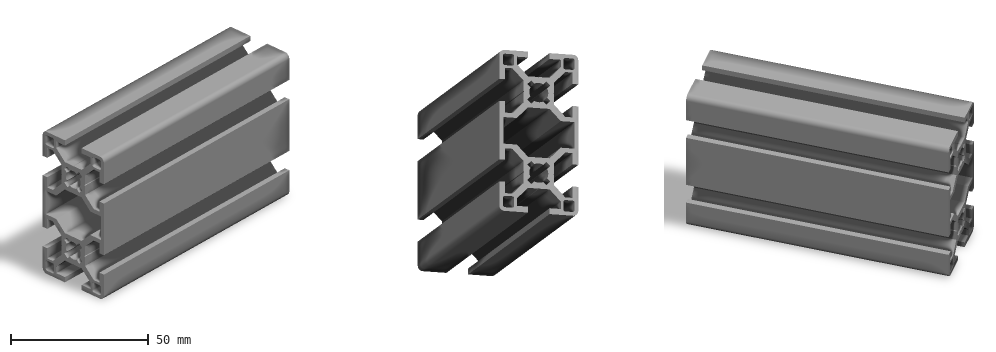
import cadquery as cq

length = 100.0
cell = 30.0
height = 2 * cell
outer_radius = 2.0

slot_opening = 8.2
slot_inner_width = 16.7
lip_thickness = 2.2
core_width = 11.6

side_wall = 1.5
corner_wall = 1.4
inner_wall = 1.0
corner_hole_radius = 0.8

bore_diameter = 7.2
slit_width = 2.1
slit_length = 10.2

groove_width = 0.4
groove_depth = 0.3

half_cell = cell / 2
half_opening = slot_opening / 2
half_inner = slot_inner_width / 2
half_core = core_width / 2
shoulder = half_core + half_inner - half_opening
cavity_shoulder = half_cell - shoulder
cell_centers = [-half_cell, half_cell]


def prism(sketch):
    """Extrude an XZ outline along the full length, centred on Y."""
    return sketch.extrude(length / 2, both=True)


def slot_cutter():
    """T-slot with a grooved floor, opening towards +Z from a cell centre."""
    lip_bottom = half_cell - lip_thickness
    right_side = [
        (groove_width / 2, half_core),
        (half_opening, half_core),
        (half_inner, shoulder),
        (half_inner, lip_bottom),
        (half_opening, lip_bottom),
        (half_opening, half_cell),
    ]
    left_side = [(-x, z) for x, z in reversed(right_side)]
    groove_tip = (0, half_core - groove_depth)
    return prism(cq.Workplane("XZ").polyline([groove_tip] + right_side + left_side).close())


def bore_cutter():
    """Round core bore with a diagonal cross through it."""
    bore = prism(cq.Workplane("XZ").circle(bore_diameter / 2))
    for angle in (45, -45):
        slit = prism(cq.Workplane("XZ").rect(slit_length, slit_width))
        bore = bore.union(slit.rotate((0, 0, 0), (0, 1, 0), angle))
    return bore


def corner_hole_cutter():
    """Rounded square hollows in the four outer corners."""
    near = half_inner + inner_wall
    far = half_cell - corner_wall
    size = far - near
    x = (near + far) / 2
    z = x + half_cell
    corners = [(sx * x, sz * z) for sx in (-1, 1) for sz in (-1, 1)]
    holes = prism(cq.Workplane("XZ").pushPoints(corners).rect(size, size))
    return holes.edges("|Y").fillet(corner_hole_radius)


def cavity_cutter():
    """Closed cavity between the two cores."""
    quarter = [
        (half_cell - side_wall, cavity_shoulder),
        (half_inner, cavity_shoulder),
        (half_opening, half_cell - half_core),
    ]
    upper = quarter + [(-x, z) for x, z in reversed(quarter)]
    lower = [(x, -z) for x, z in reversed(upper)]
    return prism(cq.Workplane("XZ").polyline(upper + lower).close())


body = cq.Workplane("XY").box(cell, length, height).edges("|Y").fillet(outer_radius)

slot = slot_cutter()
for center in cell_centers:
    end_angle = 0 if center > 0 else 180
    for angle in (90, -90, end_angle):
        turned = slot.rotate((0, 0, 0), (0, 1, 0), angle)
        body = body.cut(turned.translate((0, 0, center)))
    body = body.cut(bore_cutter().translate((0, 0, center)))

result = body.cut(corner_hole_cutter()).cut(cavity_cutter())